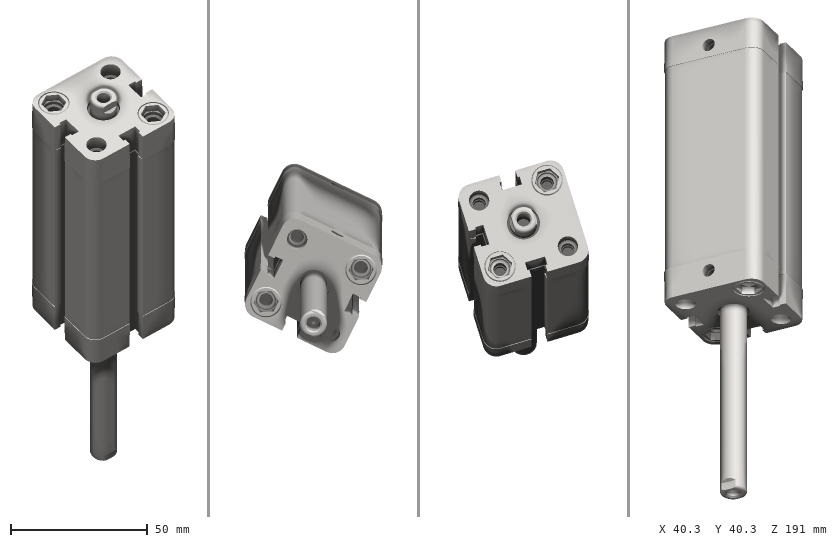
import cadquery as cq
import math

total_length = 191.0
side = 40.0
cap_side = 40.3
corner_radius = 5.0
lower_cap_end = 76.0
rod_overhang = 6.1
cap_length = 12.5

slot_angles = (0, 90, -90)
lip_depth = 2.7
tube_slot_mouth = 6.1
tube_slot_throat = 5.3
tube_slot_inner = 6.9
tube_slot_depth = 5.3
cap_slot_mouth = 6.1
cap_slot_inner = 7.6
cap_slot_depth = 5.7

rod_diameter = 10.0
rod_end_radius = 1.1
flat_width = 8.0
flat_length = 3.2
rod_clearance_diameter = 12.0
rod_clearance_depth = 2.0

thread_diameter = 5.0
core_diameter = 4.2
rod_thread_depth = 9.5
rod_countersink_diameter = 6.1

hole_pitch = 26.0
socket_diameter = 7.5
socket_depth = 5.7
screw_socket_depth = 4.5
thread_depth = 8.5
core_depth = 10.5
screw_bore_diameter = 11.5
head_rim_diameter = 10.5
head_chamfer_depth = 0.5
hex_width = 8.0
hex_depth = 3.0

port_offset = 7.5
port_thread_depth = 3.8
port_core_depth = 5.7

upper_cap_end = total_length - rod_overhang
lower_joint = lower_cap_end + cap_length
upper_joint = upper_cap_end - cap_length
mid_z = (lower_cap_end + upper_cap_end) / 2


def cylinder(diameter, depth, x, y, top):
    """A vertical cylinder that reaches down from height `top`."""
    return cq.Workplane("XY", origin=(x, y, top - depth)).circle(diameter / 2).extrude(depth)


def cone(top_diameter, bottom_diameter, top):
    """A vertical 45 degree cone on the Z axis, narrowing down from height `top`."""
    depth = (top_diameter - bottom_diameter) / 2
    return (
        cq.Workplane("XY", origin=(0, 0, top))
        .circle(top_diameter / 2)
        .workplane(offset=-depth)
        .circle(bottom_diameter / 2)
        .loft()
    )


def side_slots(mouth, throat, inner, depth, bottom, height):
    """T-slots cut in from the three slotted sides."""
    face = side / 2
    outside = cap_side / 2
    lip_end = face - lip_depth
    floor = face - depth
    slot = (
        cq.Workplane("XY", origin=(0, 0, bottom))
        .moveTo(outside, -mouth / 2)
        .lineTo(face, -mouth / 2)
        .lineTo(lip_end, -throat / 2)
        .lineTo(lip_end, -inner / 2)
        .lineTo(floor, -inner / 2)
        .lineTo(floor, inner / 2)
        .lineTo(lip_end, inner / 2)
        .lineTo(lip_end, throat / 2)
        .lineTo(face, mouth / 2)
        .lineTo(outside, mouth / 2)
        .close()
        .extrude(height)
    )
    slots = cq.Workplane("XY")
    for angle in slot_angles:
        slots = slots.add(slot.rotate((0, 0, 0), (0, 0, 1), angle))
    return slots.combine()


def make_tube():
    """Middle profile with its slots and the passage for the rod."""
    height = upper_joint - lower_joint
    tube = (
        cq.Workplane("XY", origin=(0, 0, lower_joint))
        .rect(side, side)
        .extrude(height)
        .edges("|Z")
        .fillet(corner_radius)
    )
    slots = side_slots(
        tube_slot_mouth, tube_slot_throat, tube_slot_inner, tube_slot_depth, lower_joint, height
    )
    tube = tube.cut(slots)
    return tube.cut(cylinder(rod_diameter, height, 0, 0, upper_joint))


def cap_block():
    """Tapered square block, widest at the joint with the tube."""
    joint_outline = cq.Sketch().rect(cap_side, cap_side).vertices().fillet(corner_radius)
    end_outline = cq.Sketch().rect(side, side).vertices().fillet(corner_radius)
    return (
        cq.Workplane("XY", origin=(0, 0, upper_joint))
        .placeSketch(joint_outline, end_outline.moved(cq.Location(cq.Vector(0, 0, cap_length))))
        .loft()
    )


def corner_hole(x, y, depth):
    """Round socket of the given depth with a threaded hole in its floor."""
    hole = cylinder(socket_diameter, depth, x, y, upper_cap_end)
    hole = hole.union(cylinder(thread_diameter, thread_depth, x, y, upper_cap_end))
    return hole.union(cylinder(core_diameter, core_depth, x, y, upper_cap_end))


def hex_socket(x, y):
    """Hexagonal drive of a screw head, with corners towards -X and +X."""
    across_corners = hex_width / math.cos(math.pi / 6)
    return (
        cq.Workplane("XY", origin=(x, y, upper_cap_end - hex_depth))
        .polygon(6, across_corners)
        .extrude(hex_depth)
    )


def screw_head_groove(x, y):
    """Groove between the cap and the chamfered rim of a screw head flush with the cap."""
    groove = cylinder(screw_bore_diameter, head_chamfer_depth, x, y, upper_cap_end)
    head = (
        cq.Workplane("XY", origin=(x, y, upper_cap_end - head_chamfer_depth))
        .circle(screw_bore_diameter / 2)
        .workplane(offset=head_chamfer_depth)
        .circle(head_rim_diameter / 2)
        .loft()
    )
    return groove.cut(head)


def air_port():
    """Threaded port entering from the -X side."""
    port = cq.Workplane("YZ", origin=(-cap_side / 2, 0, upper_cap_end - port_offset))
    thread = port.circle(thread_diameter / 2).extrude(port_thread_depth)
    return thread.union(port.circle(core_diameter / 2).extrude(port_core_depth))


def make_upper_cap():
    """Cap with slots, rod passage, corner holes and air port; screw heads fill one diagonal."""
    slots = side_slots(
        cap_slot_mouth, cap_slot_mouth, cap_slot_inner, cap_slot_depth, upper_joint, cap_length
    )
    cap = cap_block().cut(slots)
    cap = cap.cut(cylinder(rod_diameter, cap_length, 0, 0, upper_cap_end))
    cap = cap.cut(cylinder(rod_clearance_diameter, rod_clearance_depth, 0, 0, upper_cap_end))
    for x_sign in (-1, 1):
        for y_sign in (-1, 1):
            x = x_sign * hole_pitch / 2
            y = y_sign * hole_pitch / 2
            if x_sign == y_sign:
                cap = cap.cut(corner_hole(x, y, screw_socket_depth))
                cap = cap.cut(screw_head_groove(x, y)).cut(hex_socket(x, y))
            else:
                cap = cap.cut(corner_hole(x, y, socket_depth))
    return cap.cut(air_port())


def wrench_flat():
    """Cutter for the +X flat at the upper rod end, with its 45 degree run-out."""
    flat_x = flat_width / 2
    flat_end = total_length - flat_length
    reach = rod_diameter
    slope_length = reach - flat_x
    return (
        cq.Workplane("XZ")
        .moveTo(flat_x, total_length)
        .lineTo(flat_x, flat_end)
        .lineTo(reach, flat_end - slope_length)
        .lineTo(reach, total_length)
        .close()
        .extrude(rod_diameter, both=True)
    )


def make_rod():
    """Through rod, alike at both ends."""
    rod = cylinder(rod_diameter, total_length, 0, 0, total_length)
    rod = rod.faces("<Z or >Z").edges().fillet(rod_end_radius)
    countersink = cone(rod_countersink_diameter, thread_diameter, total_length)
    end_cut = wrench_flat()
    end_cut = end_cut.union(end_cut.mirror("YZ"))
    end_cut = end_cut.union(cylinder(thread_diameter, rod_thread_depth, 0, 0, total_length))
    end_cut = end_cut.union(countersink)
    return rod.cut(end_cut).cut(end_cut.mirror("XY", (0, 0, total_length / 2)))


tube = make_tube()
upper_cap = make_upper_cap()
lower_cap = upper_cap.mirror("XY", (0, 0, mid_z))
rod = make_rod()

result = cq.Compound.makeCompound([tube.val(), upper_cap.val(), lower_cap.val(), rod.val()])